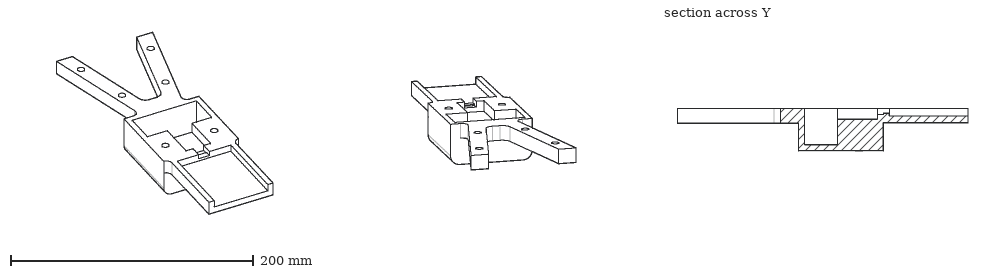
import cadquery as cq
import math


block_length = 70.0
block_width = 70.0
block_height = 35.0
block_edge_radius = 8.0

arm_tip_x = -99.96
arm_span = 90.0
arm_tip_width = 15.0
arm_angle = math.radians(14.0)
arm_thickness = 12.5
crotch_x = -15.0
crotch_radius = 7.0
arm_root_radius = 5.0
pick_margin = 1.0

tray_length = 70.0
tray_width = 60.0
tray_thickness = 12.0
tray_wall = 5.0
tray_depth = 6.2
tray_root_radius = (block_width - tray_width) / 2

wall = 5.0
deep_pocket_length = 27.0
deep_pocket_depth = block_height - wall
middle_pocket_length = 33.0
middle_pocket_width = 23.0
middle_pocket_depth = 9.0
channel_width = 10.0
channel_half_length = 5.0
channel_low_depth = 5.0
channel_high_depth = 4.0

hole_diameter = 6.0
block_hole_x = 50.0
block_hole_y = 22.8
arm_hole_xs = (-80.0, -31.0)

deep_pocket_end = wall + deep_pocket_length
middle_pocket_end = deep_pocket_end + middle_pocket_length
channel_step_x = middle_pocket_end + channel_half_length
tray_pocket_start = channel_step_x + channel_half_length
tray_end = block_length + tray_length


def arm_line_y(tip_y, x):
    """Y of a line that starts at tip_y on the +Y arm's tip and runs along the arm."""
    return tip_y - (x - arm_tip_x) * math.tan(arm_angle)


def centred_box(x_start, x_end, width, depth):
    """Box that reaches down from the top face, centred on Y = 0."""
    box = cq.Workplane("XY").box(x_end - x_start, width, depth, centered=(False, True, False))
    return box.translate((x_start, 0, -depth))


def make_block():
    block = centred_box(0, block_length, block_width, block_height)
    return block.edges("|X and <Z").fillet(block_edge_radius)


def fillet_upright_edges(body, x, y, radius):
    """Round the two vertical edges of the arms at (x, y) and (x, -y)."""
    low_corner = (x - pick_margin, -y - pick_margin, -arm_thickness)
    high_corner = (x + pick_margin, y + pick_margin, 0)
    region = cq.selectors.BoxSelector(low_corner, high_corner)
    return body.edges("|Z").edges(region).fillet(radius)


def make_arms():
    """Both arms as one plate that overlaps the block by its wall thickness."""
    outer_tip_y = arm_span / 2
    inner_tip_y = outer_tip_y - arm_tip_width
    root_y = arm_line_y(outer_tip_y, 0)
    crotch_y = arm_line_y(inner_tip_y, crotch_x)
    outline = [
        (arm_tip_x, outer_tip_y),
        (0, root_y),
        (0, block_width / 2),
        (wall, block_width / 2),
        (wall, -block_width / 2),
        (0, -block_width / 2),
        (0, -root_y),
        (arm_tip_x, -outer_tip_y),
        (arm_tip_x, -inner_tip_y),
        (crotch_x, -crotch_y),
        (crotch_x, crotch_y),
        (arm_tip_x, inner_tip_y),
    ]
    arms = cq.Workplane("XY").polyline(outline).close().extrude(-arm_thickness)
    arms = fillet_upright_edges(arms, 0, root_y, arm_root_radius)
    return fillet_upright_edges(arms, crotch_x, crotch_y, crotch_radius)


def make_tray():
    """Tray plate with concave arcs where it meets the block; it overlaps the block."""
    half_block = block_width / 2
    half_tray = tray_width / 2
    fillet_end_x = block_length + tray_root_radius
    arc_offset = tray_root_radius * (1 - math.sqrt(0.5))
    arc_x = block_length + arc_offset
    arc_y = half_tray + arc_offset
    return (
        cq.Workplane("XY")
        .moveTo(deep_pocket_end, half_block)
        .lineTo(block_length, half_block)
        .threePointArc((arc_x, arc_y), (fillet_end_x, half_tray))
        .lineTo(tray_end, half_tray)
        .lineTo(tray_end, -half_tray)
        .lineTo(fillet_end_x, -half_tray)
        .threePointArc((arc_x, -arc_y), (block_length, -half_block))
        .lineTo(deep_pocket_end, -half_block)
        .close()
        .extrude(-tray_thickness)
    )


def cut_pockets(body):
    """Cut the stepped row of pockets from the deep one through to the open end of the tray."""
    inner_width = block_width - 2 * wall
    tray_inner_width = tray_width - 2 * tray_wall
    body = body.cut(centred_box(wall, deep_pocket_end, inner_width, deep_pocket_depth))
    body = body.cut(centred_box(deep_pocket_end, middle_pocket_end, middle_pocket_width, middle_pocket_depth))
    body = body.cut(centred_box(middle_pocket_end, channel_step_x, channel_width, channel_low_depth))
    body = body.cut(centred_box(channel_step_x, tray_pocket_start, channel_width, channel_high_depth))
    return body.cut(centred_box(tray_pocket_start, tray_end, tray_inner_width, tray_depth))


def cut_holes(body):
    """Drill through holes in the block and along the centre line of each arm."""
    arm_axis_tip_y = (arm_span - arm_tip_width) / 2
    centres = [(block_hole_x, block_hole_y)]
    for x in arm_hole_xs:
        centres.append((x, arm_line_y(arm_axis_tip_y, x)))
    mirrored = [(x, -y) for x, y in centres]
    drills = cq.Workplane("XY").pushPoints(centres + mirrored).circle(hole_diameter / 2).extrude(-block_height)
    return body.cut(drills)


body = make_block().union(make_arms()).union(make_tray())
body = cut_pockets(body)
result = cut_holes(body)